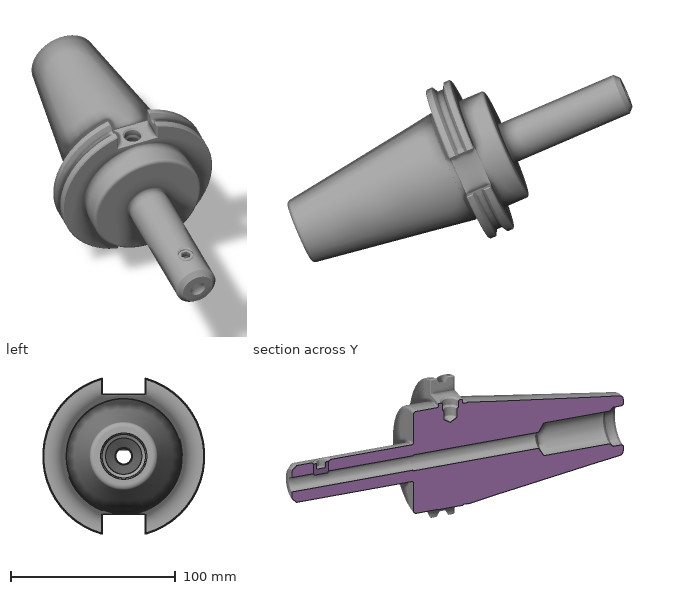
import cadquery as cq
import math

total_length = 216.0

gauge_x = 101.5
gauge_diameter = 70.0
neck_diameter = 69.3
taper_ratio = 7 / 24
nose_fillet = 3.0

flange_start = 104.7
flange_width = 16.0
flange_diameter = 98.2
flange_chamfer = 0.6
neck_root_fillet = 0.9
hub_root_fillet = 0.6
groove_depth = 3.7
groove_floor_width = 3.7
groove_side_angle = 30.0

hub_end = 136.9
hub_diameter = 70.0
hub_fillet = 2.0
shank_diameter = 25.5
shank_chamfer = 3.0
shank_root_fillet = 1.0

notch_width = 25.5
notch_chamfer = 0.6
top_notch_floor = 37.5
bottom_notch_floor = 35.2

notch_hole_mouth = 12.0
notch_hole_thread = 10.1
notch_hole_core = 8.0
notch_hole_thread_depth = 5.0
notch_hole_core_depth = 11.9
drill_point_angle = 118.0

bore_mouth = 28.0
bore_pilot = 26.3
bore_thread = 22.0
bore_pilot_depth = 6.7
bore_thread_depth = 51.8
bore_mouth_angle = 60.0
bore_step_angle = 90.0
coolant_diameter = 10.5
tool_diameter = 9.5

screw_x = 197.0
screw_diameter = 9.5
screw_chamfer_diameter = 8.5
screw_bottom = 3.7
screw_top = 11.7
socket_width = 5.5
socket_depth = 3.9
countersink_diameter = 13.0
countersink_angle = 120.0

flange_end = flange_start + flange_width
flange_middle = flange_start + flange_width / 2
gauge_radius = gauge_diameter / 2
neck_radius = neck_diameter / 2
hub_radius = hub_diameter / 2
shank_radius = shank_diameter / 2
flange_radius = flange_diameter / 2


def revolve_about_x(points):
    """Solid of revolution about X from (x, radius) points."""
    return cq.Workplane("XY").polyline(points).close().revolve(360, (0, 0, 0), (1, 0, 0))


def revolve_about_z(points, x):
    """Solid of revolution about a vertical axis at x from (radius, z) points."""
    outline = cq.Workplane("XZ", origin=(x, 0, 0)).polyline(points).close()
    return outline.revolve(360, (0, 0, 0), (0, 1, 0))


def fillet_ring(body, x, radius, fillet):
    """Round the circular edge of the given radius that lies at x."""
    tolerance = 0.002

    def is_ring(edge):
        if edge.geomType() != "CIRCLE":
            return False
        return abs(edge.Center().x - x) < tolerance and abs(edge.radius() - radius) < tolerance

    ring = cq.Workplane("XY").newObject([e for e in body.edges().vals() if is_ring(e)])
    return cq.Workplane(body.val().fillet(fillet, ring.vals()))


def holder_blank():
    """Taper, flange, hub and shank as one turned shape."""
    nose_radius = gauge_radius - gauge_x * taper_ratio / 2
    floor_half = groove_floor_width / 2
    mouth_half = floor_half + groove_depth * math.tan(math.radians(groove_side_angle))
    floor_radius = flange_radius - groove_depth
    shoulder_radius = flange_radius - flange_chamfer
    blank = revolve_about_x([
        (0, 0),
        (0, nose_radius),
        (gauge_x, gauge_radius),
        (gauge_x, neck_radius),
        (flange_start, neck_radius),
        (flange_start, shoulder_radius),
        (flange_start + flange_chamfer, flange_radius),
        (flange_middle - mouth_half, flange_radius),
        (flange_middle - floor_half, floor_radius),
        (flange_middle + floor_half, floor_radius),
        (flange_middle + mouth_half, flange_radius),
        (flange_end - flange_chamfer, flange_radius),
        (flange_end, shoulder_radius),
        (flange_end, hub_radius),
        (hub_end, hub_radius),
        (hub_end, shank_radius),
        (total_length - shank_chamfer, shank_radius),
        (total_length, shank_radius - shank_chamfer),
        (total_length, 0),
    ])
    blank = fillet_ring(blank, 0, nose_radius, nose_fillet)
    blank = fillet_ring(blank, flange_start, neck_radius, neck_root_fillet)
    blank = fillet_ring(blank, flange_end, hub_radius, hub_root_fillet)
    blank = fillet_ring(blank, hub_end, hub_radius, hub_fillet)
    return fillet_ring(blank, hub_end, shank_radius, shank_root_fillet)


def drive_notch(floor):
    """Cutter for a notch above the axis, with bevelled wall edges on the faces and rim."""
    wall = notch_width / 2
    flare = wall + notch_chamfer
    start = flange_start - neck_root_fillet
    end = flange_end + hub_root_fillet
    plan = [
        (start, flare),
        (flange_start, flare),
        (flange_start + notch_chamfer, wall),
        (flange_end - notch_chamfer, wall),
        (flange_end, flare),
        (end, flare),
    ]
    mirrored_plan = [(x, -y) for x, y in reversed(plan)]
    slot = (
        cq.Workplane("XY", origin=(0, 0, floor))
        .polyline(plan + mirrored_plan)
        .close()
        .extrude(flange_radius - floor)
    )
    rim = math.sqrt(flange_radius**2 - wall**2)
    rim_bevel = (
        cq.Workplane("YZ", origin=(start, 0, 0))
        .polyline([
            (-wall, rim - notch_chamfer),
            (wall, rim - notch_chamfer),
            (flare, rim),
            (-flare, rim),
        ])
        .close()
        .extrude(end - start)
    )
    return slot.union(rim_bevel)


def notch_hole():
    """Countersunk, stepped blind hole with a drill point."""
    mouth = notch_hole_mouth / 2
    thread = notch_hole_thread / 2
    core = notch_hole_core / 2
    thread_end = top_notch_floor - notch_hole_thread_depth
    core_end = top_notch_floor - notch_hole_core_depth
    point_length = core / math.tan(math.radians(drill_point_angle / 2))
    return revolve_about_z([
        (0, top_notch_floor),
        (mouth, top_notch_floor),
        (thread, top_notch_floor - (mouth - thread)),
        (thread, thread_end),
        (core, thread_end - (thread - core)),
        (core, core_end),
        (0, core_end - point_length),
    ], flange_middle)


def axial_bore():
    """Chamfered pilot and thread bore, drill cone, coolant hole to the hub end, then tool bore."""
    mouth = bore_mouth / 2
    pilot = bore_pilot / 2
    thread = bore_thread / 2
    coolant = coolant_diameter / 2
    tool = tool_diameter / 2
    mouth_length = (mouth - pilot) / math.tan(math.radians(bore_mouth_angle / 2))
    step_length = (pilot - thread) / math.tan(math.radians(bore_step_angle / 2))
    cone_length = (thread - coolant) / math.tan(math.radians(drill_point_angle / 2))
    return revolve_about_x([
        (0, 0),
        (0, mouth),
        (mouth_length, pilot),
        (bore_pilot_depth, pilot),
        (bore_pilot_depth + step_length, thread),
        (bore_thread_depth, thread),
        (bore_thread_depth + cone_length, coolant),
        (hub_end, coolant),
        (hub_end, tool),
        (total_length, tool),
        (total_length, 0),
    ])


def screw_hole():
    """Hole from the shank's top into the tool bore, countersunk at the surface."""
    mouth = countersink_diameter / 2
    hole = screw_diameter / 2
    countersink_depth = (mouth - hole) / math.tan(math.radians(countersink_angle / 2))
    return revolve_about_z([
        (0, 0),
        (hole, 0),
        (hole, shank_radius - countersink_depth),
        (mouth, shank_radius),
        (0, shank_radius),
    ], screw_x)


def make_holder():
    """Turned blank with its notches, bores and holes cut."""
    holder = holder_blank()
    top_notch = drive_notch(top_notch_floor)
    bottom_notch = drive_notch(bottom_notch_floor).rotate((0, 0, 0), (1, 0, 0), 180)
    for cutter in (top_notch, bottom_notch, notch_hole(), axial_bore(), screw_hole()):
        holder = holder.cut(cutter)
    return holder


def make_set_screw():
    """Headless screw with a chamfered top and a hexagon socket."""
    outer = screw_diameter / 2
    top = screw_chamfer_diameter / 2
    screw = revolve_about_z([
        (0, screw_bottom),
        (outer, screw_bottom),
        (outer, screw_top - (outer - top)),
        (top, screw_top),
        (0, screw_top),
    ], screw_x)
    across_corners = socket_width / math.cos(math.radians(30))
    socket = (
        cq.Workplane("XY", origin=(screw_x, 0, screw_top))
        .transformed(rotate=(0, 0, 90))
        .polygon(6, across_corners)
        .extrude(-socket_depth)
    )
    return screw.cut(socket)


holder = make_holder()
set_screw = make_set_screw()
result = cq.Compound.makeCompound([holder.val(), set_screw.val()])